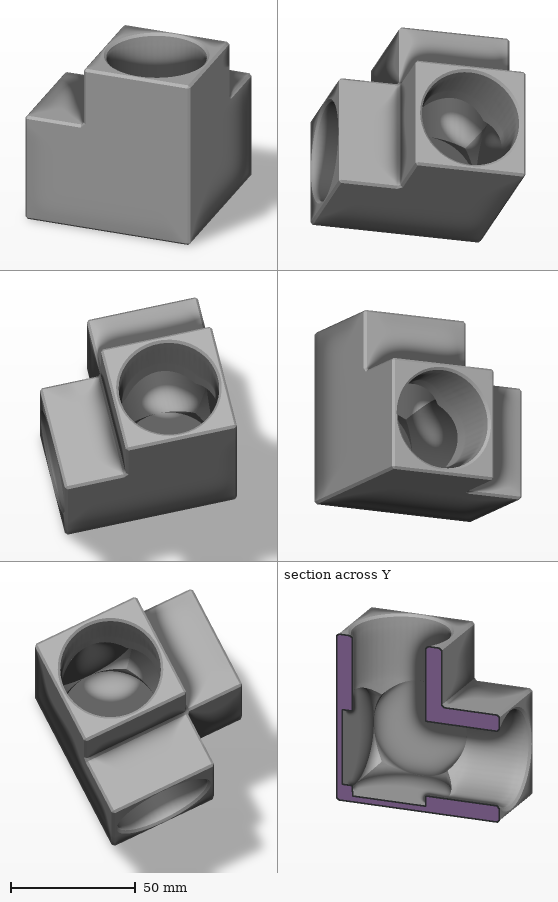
import cadquery as cq

overall = 70.7
arm_length = 25.0
chamfer = 1.0
bore_diameter = 40.3

section = overall - arm_length
half_section = section / 2
wall = (section - bore_diameter) / 2
bore_depth = overall - wall
bore_center = {"x": overall - half_section, "y": half_section, "z": half_section}


def arm(x_size, y_size, z_size):
    """Square bar that shares the hub corner at +X, -Y, -Z."""
    bar = cq.Workplane("XY").box(x_size, y_size, z_size, centered=False)
    return bar.translate((overall - x_size, 0, 0))


def bore(mouth, inward):
    """Blind bore with a chamfered mouth, running inward from an arm end."""
    mouth_plane = cq.Plane(origin=mouth, normal=inward)
    hole = cq.Workplane(mouth_plane).circle(bore_diameter / 2).extrude(bore_depth)
    countersink = (
        cq.Workplane(mouth_plane)
        .circle(bore_diameter / 2 + chamfer)
        .workplane(offset=chamfer)
        .circle(bore_diameter / 2)
        .loft()
    )
    return hole.union(countersink)


body = (
    arm(overall, section, section)
    .union(arm(section, overall, section))
    .union(arm(section, section, overall))
    .clean()
    .edges()
    .chamfer(chamfer)
)

x_bore = bore((0, bore_center["y"], bore_center["z"]), (1, 0, 0))
y_bore = bore((bore_center["x"], overall, bore_center["z"]), (0, -1, 0))
z_bore = bore((bore_center["x"], bore_center["y"], overall), (0, 0, -1))

result = body.cut(x_bore).cut(y_bore).cut(z_bore)